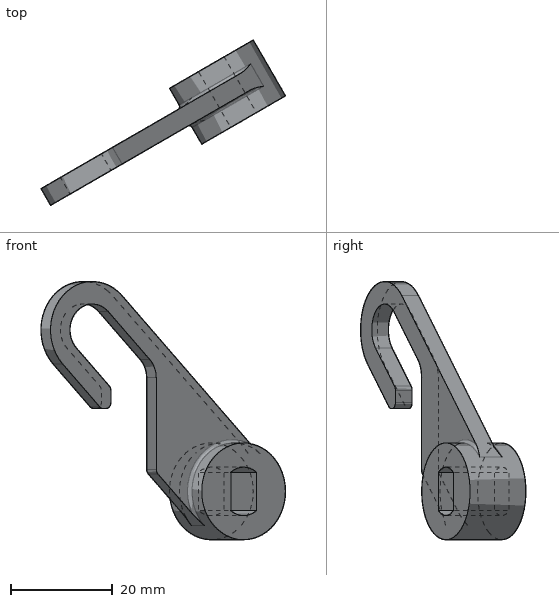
import cadquery as cq
import math

TURN_ANGLE = 30.0

DISC_RADIUS = 9.52
DISC_THICKNESS = 12.7
HOLE_DIAMETER = DISC_RADIUS
HOLE_WIDTH = 5.85
JOINT_FILLET = 0.635

PLATE_THICKNESS = 3.8
BEND_OUTER_RADIUS = DISC_RADIUS
BEND_INNER_RADIUS = 5.1
BEND_X = -31.7
BEND_Z = -BEND_X
TIP_X = -27.5
TIP_Z = 16.25
NECK_X = -17.25
NECK_UPPER_FILLET = 5.1
CORNER_FILLET = 1.25

DIAGONAL = math.sqrt(0.5)


def bend_point(radius, across, up):
    """Point on a circle about the bend center, in the given unit direction."""
    return (BEND_X + radius * across, BEND_Z + radius * up)


def upright_workplane(thickness):
    """XZ workplane placed so an extrusion of this thickness is centered on Y = 0."""
    return cq.Workplane("XZ", origin=(0, thickness / 2, 0))


def make_plate():
    """Hook plate, ending inside the disc on a diameter between the two tangent points."""
    disc_edge_sum = DISC_RADIUS / DIAGONAL
    bend_outer_sum = BEND_OUTER_RADIUS / DIAGONAL
    bend_inner_sum = BEND_INNER_RADIUS / DIAGONAL
    tangent = DISC_RADIUS * DIAGONAL

    neck_top = (NECK_X, bend_inner_sum - NECK_X)
    neck_bottom = (NECK_X, -disc_edge_sum - NECK_X)
    tip_inner = (TIP_X, -bend_inner_sum - TIP_X)
    tip_corner = (TIP_X, TIP_Z)
    tip_outer = (-bend_outer_sum - TIP_Z, TIP_Z)

    plate = (
        upright_workplane(PLATE_THICKNESS)
        .moveTo(tangent, tangent)
        .lineTo(*bend_point(BEND_OUTER_RADIUS, DIAGONAL, DIAGONAL))
        .threePointArc(
            bend_point(BEND_OUTER_RADIUS, -DIAGONAL, DIAGONAL),
            bend_point(BEND_OUTER_RADIUS, -DIAGONAL, -DIAGONAL),
        )
        .lineTo(*tip_outer)
        .lineTo(*tip_corner)
        .lineTo(*tip_inner)
        .lineTo(*bend_point(BEND_INNER_RADIUS, -DIAGONAL, -DIAGONAL))
        .threePointArc(
            bend_point(BEND_INNER_RADIUS, -DIAGONAL, DIAGONAL),
            bend_point(BEND_INNER_RADIUS, DIAGONAL, DIAGONAL),
        )
        .lineTo(*neck_top)
        .lineTo(*neck_bottom)
        .lineTo(-tangent, -tangent)
        .close()
        .extrude(PLATE_THICKNESS)
    )

    corner_fillets = [
        (neck_top, NECK_UPPER_FILLET),
        (neck_bottom, CORNER_FILLET),
        (tip_inner, CORNER_FILLET),
        (tip_corner, CORNER_FILLET),
        (tip_outer, CORNER_FILLET),
    ]
    for (x, z), radius in corner_fillets:
        corner_edge = cq.selectors.NearestToPointSelector((x, 0, z))
        plate = plate.edges("|Y").edges(corner_edge).fillet(radius)
    return plate


def make_disc():
    return upright_workplane(DISC_THICKNESS).circle(DISC_RADIUS).extrude(DISC_THICKNESS)


def make_joint_fillet(plate, side):
    """Concave ring around the disc on one plate face, trimmed to the plate outline."""
    face_y = side * PLATE_THICKNESS / 2
    ring_top_y = face_y + side * JOINT_FILLET
    ring_radius = DISC_RADIUS + JOINT_FILLET
    arc_offset = JOINT_FILLET * (1 - DIAGONAL)
    ring = (
        cq.Workplane("XY")
        .moveTo(0, 0)
        .lineTo(ring_radius, 0)
        .lineTo(ring_radius, face_y)
        .threePointArc((DISC_RADIUS + arc_offset, face_y + side * arc_offset), (DISC_RADIUS, ring_top_y))
        .lineTo(0, ring_top_y)
        .close()
        .revolve(360, (0, 0, 0), (0, 1, 0))
    )
    raised_outline = plate.translate((0, side * JOINT_FILLET, 0))
    return ring.intersect(raised_outline)


def make_hole():
    bore = upright_workplane(DISC_THICKNESS).circle(HOLE_DIAMETER / 2).extrude(DISC_THICKNESS)
    flats = cq.Workplane("XY").box(HOLE_WIDTH, DISC_THICKNESS, HOLE_DIAMETER)
    return bore.intersect(flats)


hook_plate = make_plate()
body = hook_plate.union(make_disc())
for face_side in (-1, 1):
    body = body.union(make_joint_fillet(hook_plate, face_side))
body = body.cut(make_hole())

result = body.rotate((0, 0, 0), (0, 0, 1), TURN_ANGLE)